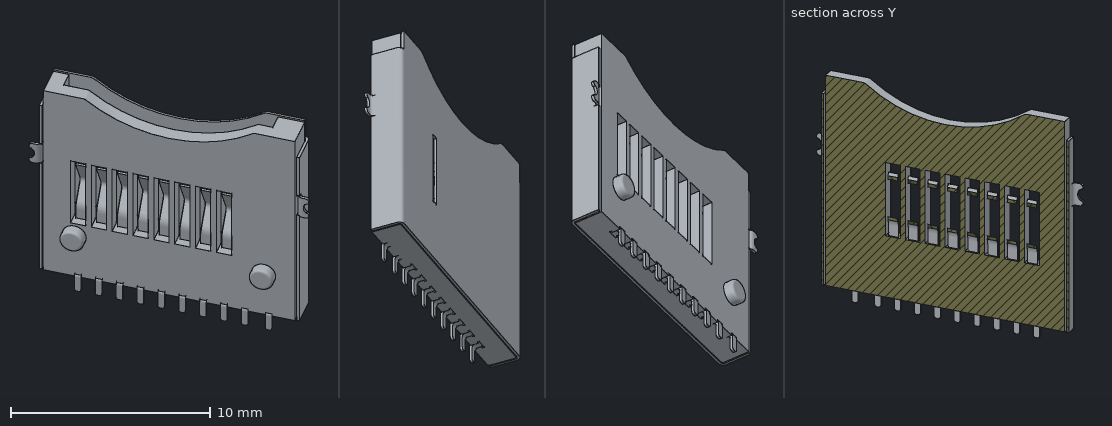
import cadquery as cq
import math


SHEET = 0.15

HOUSING_WIDTH = 13.27
HOUSING_DEPTH = 1.61
HOUSING_HEIGHT = 11.65
CARD_SLOT_LEFT = -5.8
CARD_SLOT_RIGHT = 5.23
FRONT_WALL = 0.74

NOTCH_RADIUS = 7.6
NOTCH_BOTTOM_Z = 10.2
HOUSING_NOTCH_ROUNDING = 0.3
COVER_NOTCH_ROUNDING = 0.5

PEG_SPACING = 9.99
PEG_Z = 2.63
PEG_DIAMETER = 1.25
PEG_LENGTH = 0.55
PEG_ROUNDING = 0.15

CONTACT_COUNT = 8
FIRST_CONTACT_X = -4.8
LAST_CONTACT_X = 2.9
PITCH = (LAST_CONTACT_X - FIRST_CONTACT_X) / (CONTACT_COUNT - 1)
WINDOW_WIDTH = 0.8
WINDOW_BOTTOM_Z = 3.41
WINDOW_TOP_Z = 7.43

COVER_WIDTH = 13.73
COVER_BACK_Y = 1.8
COVER_TOP_Z = 11.7
FLANGE_TOP_Z = 10.61
FLANGE_FRONT_Y = 0.05
COVER_BEND_RADIUS = 0.3

EAR_TIP_X = 7.39
EAR_FRONT_Y = -0.05
EAR_HEIGHT = 1.24
EAR_MID_Z = 7.48
EAR_BEND_RADIUS = 0.19
EAR_TIP_ROUNDING = 0.19
EAR_HORN_ROUNDING = 0.13
EAR_NOTCH_DEPTH = 0.3
EAR_NOTCH_HALF_HEIGHT = EAR_HEIGHT / 2 - EAR_TIP_ROUNDING - EAR_HORN_ROUNDING

TAIL_WIDTH = 0.35
TAIL_FRONT_Y = -0.06
TAIL_TIP_Z = -0.9
TAIL_TIP_ROUNDING = 0.13
TAIL_OUTER_RADIUS = 0.2
TAIL_INNER_RADIUS = 0.19
EXTRA_TAILS_X = (LAST_CONTACT_X + PITCH, 5.26)

BLADE_WIDTH = 0.55
BLADE_THICKNESS = 0.1
BLADE_FRONT_Y = 0.46
BLADE_BEND_Z = 4.0
BLADE_BEND_RADIUS = 0.77
BLADE_RISE_ANGLE = 34.0
BLADE_SLOPE_HEIGHT = 0.8
BLADE_CREST_RADIUS = 0.33
BLADE_RETURN_ANGLE = 28.0
BLADE_TIP_Z = 6.87

CONTACTS_X = [FIRST_CONTACT_X + i * PITCH for i in range(CONTACT_COUNT)]


def box(x0, x1, y0, y1, z0, z1):
    return cq.Workplane("XY").box(x1 - x0, y1 - y0, z1 - z0, centered=False).translate((x0, y0, z0))


def thumb_notch(top_z, rounding):
    """Cutter for the round thumb notch in a body ending at top_z, with rounded upper corners."""
    centre_z = NOTCH_BOTTOM_Z + NOTCH_RADIUS
    rounding_z = top_z - rounding
    rounding_x = math.sqrt((NOTCH_RADIUS + rounding) ** 2 - (centre_z - rounding_z) ** 2)
    share = NOTCH_RADIUS / (NOTCH_RADIUS + rounding)
    meet_x = rounding_x * share
    meet_z = centre_z - (centre_z - rounding_z) * share
    half_turn = math.atan2(rounding_x, centre_z - rounding_z) / 2
    middle_x = rounding_x - rounding * math.sin(half_turn)
    middle_z = rounding_z + rounding * math.cos(half_turn)
    return (
        cq.Workplane("XZ")
        .moveTo(-rounding_x, top_z)
        .threePointArc((-middle_x, middle_z), (-meet_x, meet_z))
        .threePointArc((0, NOTCH_BOTTOM_Z), (meet_x, meet_z))
        .threePointArc((middle_x, middle_z), (rounding_x, top_z))
        .close()
        .extrude(2 * COVER_BACK_Y, both=True)
    )


def make_tail(x):
    """Solder tail with the run that enters the housing just above its lower end."""
    tail_back_y = TAIL_FRONT_Y + SHEET
    run_end_y = BLADE_FRONT_Y + BLADE_THICKNESS
    tail = (
        cq.Workplane("YZ")
        .moveTo(TAIL_FRONT_Y, TAIL_TIP_Z)
        .lineTo(TAIL_FRONT_Y, 0)
        .radiusArc((TAIL_FRONT_Y + TAIL_OUTER_RADIUS, TAIL_OUTER_RADIUS), TAIL_OUTER_RADIUS)
        .lineTo(run_end_y, TAIL_OUTER_RADIUS)
        .lineTo(run_end_y, 0)
        .lineTo(tail_back_y + TAIL_INNER_RADIUS, 0)
        .radiusArc((tail_back_y, -TAIL_INNER_RADIUS), -TAIL_INNER_RADIUS)
        .lineTo(tail_back_y, TAIL_TIP_Z)
        .close()
        .extrude(TAIL_WIDTH / 2, both=True)
    )
    return tail.faces("<Z").edges("|Y").fillet(TAIL_TIP_ROUNDING).translate((x, 0, 0))


def make_blade(x):
    """Spring blade: upright foot, slope back to a rounded crest, then forward to the tip."""
    rise = math.radians(BLADE_RISE_ANGLE)
    back = math.radians(BLADE_RETURN_ANGLE)
    bend_end_y = BLADE_FRONT_Y + BLADE_BEND_RADIUS * (1 - math.cos(rise))
    bend_end_z = BLADE_BEND_Z + BLADE_BEND_RADIUS * math.sin(rise)
    crest_start_y = bend_end_y + BLADE_SLOPE_HEIGHT * math.tan(rise)
    crest_start_z = bend_end_z + BLADE_SLOPE_HEIGHT
    crest_end_y = crest_start_y + BLADE_CREST_RADIUS * (math.cos(back) - math.cos(rise))
    crest_end_z = crest_start_z + BLADE_CREST_RADIUS * (math.sin(rise) + math.sin(back))
    path = (
        cq.Workplane("YZ")
        .moveTo(BLADE_FRONT_Y, 0)
        .lineTo(BLADE_FRONT_Y, BLADE_BEND_Z)
        .tangentArcPoint((bend_end_y, bend_end_z), relative=False)
        .lineTo(crest_start_y, crest_start_z)
        .tangentArcPoint((crest_end_y, crest_end_z), relative=False)
        .lineTo(crest_end_y - (BLADE_TIP_Z - crest_end_z) * math.tan(back), BLADE_TIP_Z)
        .wire()
    )
    middle_y = BLADE_FRONT_Y + BLADE_THICKNESS / 2
    section = cq.Workplane("XY").center(0, middle_y).rect(BLADE_WIDTH, BLADE_THICKNESS)
    return section.sweep(path).translate((x, 0, 0))


def make_contact(x):
    return make_tail(x).union(make_blade(x))


def make_peg(x):
    peg = cq.Workplane("XZ").center(x, PEG_Z).circle(PEG_DIAMETER / 2).extrude(PEG_LENGTH)
    return peg.faces("<Y").edges().fillet(PEG_ROUNDING)


def make_housing(contacts):
    side_x = HOUSING_WIDTH / 2
    housing = box(-side_x, side_x, 0, HOUSING_DEPTH, 0, HOUSING_HEIGHT)
    housing = housing.cut(
        box(CARD_SLOT_LEFT, CARD_SLOT_RIGHT, FRONT_WALL, HOUSING_DEPTH, WINDOW_BOTTOM_Z, HOUSING_HEIGHT)
    )
    housing = housing.cut(thumb_notch(HOUSING_HEIGHT, HOUSING_NOTCH_ROUNDING))
    for x in CONTACTS_X:
        left = x - WINDOW_WIDTH / 2
        window = box(left, left + WINDOW_WIDTH, 0, FRONT_WALL, WINDOW_BOTTOM_Z, WINDOW_TOP_Z)
        housing = housing.cut(window)
    for contact in contacts:
        housing = housing.cut(contact)
    for side in (-1, 1):
        housing = housing.union(make_peg(side * PEG_SPACING / 2))
    for x in EXTRA_TAILS_X:
        housing = housing.union(make_tail(x))
    return housing


def make_ear():
    """Solder ear on the right flange, bent outward and ending in two horns."""
    flange_outer_x = COVER_WIDTH / 2
    flange_inner_x = flange_outer_x - SHEET
    ear_back_y = EAR_FRONT_Y + SHEET
    bend_x = flange_outer_x + EAR_BEND_RADIUS
    bend_y = ear_back_y + EAR_BEND_RADIUS
    outer_radius = EAR_BEND_RADIUS + SHEET
    strip = (
        cq.Workplane("XY")
        .moveTo(EAR_TIP_X, EAR_FRONT_Y)
        .lineTo(EAR_TIP_X, ear_back_y)
        .lineTo(bend_x, ear_back_y)
        .radiusArc((flange_outer_x, bend_y), EAR_BEND_RADIUS)
        .lineTo(flange_inner_x, bend_y)
        .radiusArc((bend_x, EAR_FRONT_Y), -outer_radius)
        .close()
        .extrude(EAR_HEIGHT / 2, both=True)
    )
    half = EAR_HEIGHT / 2
    horn_tip_z = half - EAR_TIP_ROUNDING
    outline = (
        cq.Workplane("XZ")
        .moveTo(flange_inner_x, half)
        .lineTo(EAR_TIP_X - EAR_TIP_ROUNDING, half)
        .radiusArc((EAR_TIP_X, horn_tip_z), EAR_TIP_ROUNDING)
        .radiusArc((EAR_TIP_X - EAR_HORN_ROUNDING, EAR_NOTCH_HALF_HEIGHT), EAR_HORN_ROUNDING)
        .threePointArc(
            (EAR_TIP_X - EAR_NOTCH_DEPTH, 0),
            (EAR_TIP_X - EAR_HORN_ROUNDING, -EAR_NOTCH_HALF_HEIGHT),
        )
        .radiusArc((EAR_TIP_X, -horn_tip_z), EAR_HORN_ROUNDING)
        .radiusArc((EAR_TIP_X - EAR_TIP_ROUNDING, -half), EAR_TIP_ROUNDING)
        .lineTo(flange_inner_x, -half)
        .close()
        .extrude(COVER_BACK_Y, both=True)
    )
    return strip.intersect(outline).translate((0, 0, EAR_MID_Z))


def make_cover():
    half_width = COVER_WIDTH / 2
    inner_x = half_width - SHEET
    inner_y = COVER_BACK_Y - SHEET
    outside = box(-half_width, half_width, FLANGE_FRONT_Y, COVER_BACK_Y, 0, COVER_TOP_Z)
    outside = outside.edges("|Z and >Y").fillet(COVER_BEND_RADIUS)
    inside = box(-inner_x, inner_x, FLANGE_FRONT_Y, inner_y, 0, COVER_TOP_Z)
    inside = inside.edges("|Z and >Y").fillet(COVER_BEND_RADIUS - SHEET)
    cover = outside.cut(inside)
    ear = make_ear()
    bend_start_y = EAR_FRONT_Y + SHEET + EAR_BEND_RADIUS
    for side in (-1, 1):
        flat_edge = side * HOUSING_WIDTH / 2
        outer_edge = side * half_width
        x0, x1 = min(flat_edge, outer_edge), max(flat_edge, outer_edge)
        cover = cover.cut(box(x0, x1, FLANGE_FRONT_Y, COVER_BACK_Y, FLANGE_TOP_Z, COVER_TOP_Z))
        ear_bottom_z = EAR_MID_Z - EAR_HEIGHT / 2
        ear_top_z = EAR_MID_Z + EAR_HEIGHT / 2
        cover = cover.cut(box(x0, x1, FLANGE_FRONT_Y, bend_start_y, ear_bottom_z, ear_top_z))
    cover = cover.union(ear).union(ear.mirror("YZ"))
    cover = cover.cut(thumb_notch(COVER_TOP_Z, COVER_NOTCH_ROUNDING))
    opening_right = LAST_CONTACT_X + WINDOW_WIDTH / 2
    opening = box(LAST_CONTACT_X, opening_right, inner_y, COVER_BACK_Y, WINDOW_BOTTOM_Z, WINDOW_TOP_Z)
    return cover.cut(opening)


contacts = [make_contact(x) for x in CONTACTS_X]
housing = make_housing(contacts)
cover = make_cover()

result = cq.Compound.makeCompound([housing.val(), cover.val(), *[contact.val() for contact in contacts]])